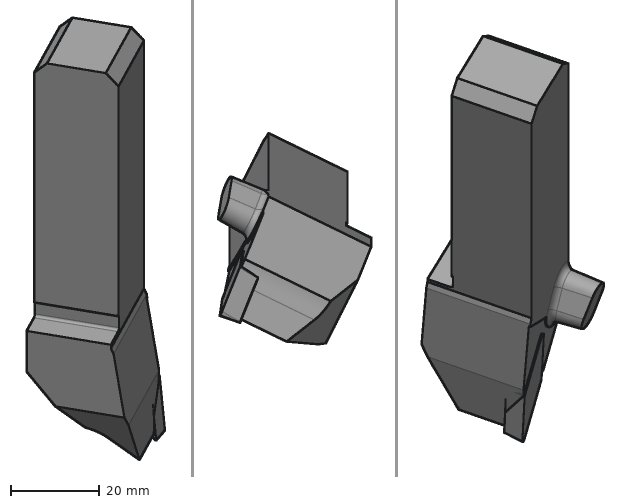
import cadquery as cq
import math


total_height = 108.0
shank_size = 20.0
shank_chamfer = 3.0
head_depth = 26.0
shelf_z = 38.9
shelf_fillet = 0.6
undercut_depth = 0.3
undercut_top_z = 42.9
nose_slope_top_z = 19.8
nose_tip_z = 2.5
nose_tip_y = -16.4

lead_angle = 50.0
lead_top_z = 27.9
relief_start_x = 12.7
relief_end_z = 9.7
bulge_top_z = 37.9
bulge_x = 20.6
bulge_z = 36.5
head_width = 23.9
waist_x = 23.7
waist_z = 16.7

peg_radius = 3.7
peg_spacing = 5.5
peg_center_x = 5.2
peg_center_z = 30.9
peg_angle = 57.0
peg_height = 9.3
peg_draft = 3.5
peg_end_tilt = 8.0
peg_fillet = 1.6
peg_end_stock = 1.1

step_depth = 0.3
step_left = (3.1, 24.1)
step_right = (20.7, 35.6)

insert_edge = 16.4
insert_tip_angle = 35.0
insert_thickness = 4.9
insert_clearance = 7.0
insert_nose_radius = 0.69
insert_reach_x = 25.0

pick_margin = 0.1
blank_margin = 10.8


def slope_drop(run):
    """Drop in Z of the lower left flank over a run in X."""
    return run * math.tan(math.radians(lead_angle))


def make_blank():
    """Front-to-back profile, wider than the part on both sides."""
    undercut_y = undercut_depth - shank_size
    return (
        cq.Workplane("YZ", origin=(-blank_margin, 0, 0))
        .moveTo(0, nose_tip_z)
        .lineTo(0, total_height)
        .lineTo(-shank_size, total_height)
        .lineTo(-shank_size, undercut_top_z)
        .lineTo(undercut_y, undercut_top_z - undercut_depth)
        .lineTo(undercut_y, shelf_z + shelf_fillet)
        .tangentArcPoint((undercut_y - shelf_fillet, shelf_z), relative=False)
        .lineTo(-head_depth, shelf_z)
        .lineTo(-head_depth, nose_slope_top_z)
        .lineTo(nose_tip_y, nose_tip_z)
        .close()
        .extrude(head_width + 2 * blank_margin)
    )


def peg_plane():
    """Plane of the seat face, centred on the peg, with its local X along the peg's long axis."""
    angle = math.radians(peg_angle)
    long_axis = cq.Vector(math.cos(angle), 0, -math.sin(angle))
    return cq.Plane((peg_center_x, 0, peg_center_z), long_axis, (0, 1, 0))


def peg_footprint(radius):
    """Outline with round ends, centred on the peg."""
    return cq.Workplane(peg_plane()).slot2D(peg_spacing + 2 * radius, 2 * radius)


def make_peg():
    """Drafted peg with round ends and a tilted end face."""
    half_length = peg_spacing / 2 + peg_radius
    peg = peg_footprint(peg_radius).extrude(peg_height + peg_end_stock, taper=peg_draft)
    root = peg_plane()
    high_edge = half_length - peg_height * math.tan(math.radians(peg_draft))
    tilt = math.tan(math.radians(peg_end_tilt))
    keep = (
        cq.Workplane(cq.Plane(root.origin, root.xDir, root.xDir.cross(root.zDir)))
        .moveTo(-half_length, 0)
        .lineTo(half_length, 0)
        .lineTo(half_length, peg_height - tilt * (half_length + high_edge))
        .lineTo(-half_length, peg_height + tilt * (half_length - high_edge))
        .close()
        .extrude(2 * peg_radius, both=True)
    )
    return peg.intersect(keep)


def make_step():
    """Thin layer removed below the step edge, all but the foot of the peg."""
    edge_slope = (step_right[1] - step_left[1]) / (step_right[0] - step_left[0])
    left_x = -blank_margin
    right_x = head_width + blank_margin
    layer = (
        cq.Workplane("XZ")
        .moveTo(left_x, step_left[1] + edge_slope * (left_x - step_left[0]))
        .lineTo(right_x, step_right[1] + edge_slope * (right_x - step_right[0]))
        .lineTo(right_x, -blank_margin)
        .lineTo(left_x, -blank_margin)
        .close()
        .extrude(step_depth)
    )
    foot = peg_footprint(peg_radius + peg_fillet).extrude(-step_depth)
    return layer.cut(foot)


def make_side_outline():
    """Side outline of shank and head, thick enough to hold the whole depth."""
    relief_start_z = lead_top_z - slope_drop(relief_start_x)
    relief_end_x = head_width - (relief_end_z - nose_tip_z) / slope_drop(1)
    return (
        cq.Workplane("XZ", origin=(0, peg_height + blank_margin, 0))
        .moveTo(0, lead_top_z)
        .lineTo(0, total_height - shank_chamfer)
        .lineTo(shank_chamfer, total_height)
        .lineTo(shank_size - shank_chamfer, total_height)
        .lineTo(shank_size, total_height - shank_chamfer)
        .lineTo(shank_size, bulge_top_z)
        .lineTo(bulge_x, bulge_z)
        .lineTo(waist_x, waist_z)
        .lineTo(head_width, nose_tip_z)
        .lineTo(relief_end_x, relief_end_z)
        .tangentArcPoint((relief_start_x, relief_start_z), relative=False)
        .close()
        .extrude(peg_height + head_depth + 2 * blank_margin)
    )


def make_insert():
    """Rhombic insert with its cutting face on Y = 0 and its nose resting on Z = 0."""
    left_edge = math.radians(180 - lead_angle)
    right_edge = left_edge - math.radians(insert_tip_angle)
    bisector = (left_edge + right_edge) / 2
    corner_to_center = insert_nose_radius / math.sin(math.radians(insert_tip_angle / 2))
    corner_x = insert_reach_x - insert_nose_radius - corner_to_center * math.cos(bisector)
    corner_z = insert_nose_radius - corner_to_center * math.sin(bisector)
    left_step = (insert_edge * math.cos(left_edge), insert_edge * math.sin(left_edge))
    right_step = (insert_edge * math.cos(right_edge), insert_edge * math.sin(right_edge))
    corners = [
        (corner_x, corner_z),
        (corner_x + right_step[0], corner_z + right_step[1]),
        (corner_x + right_step[0] + left_step[0], corner_z + right_step[1] + left_step[1]),
        (corner_x + left_step[0], corner_z + left_step[1]),
        (corner_x, corner_z),
    ]
    outline = cq.Sketch().polygon(corners).vertices().fillet(insert_nose_radius)
    return cq.Workplane("XZ").placeSketch(outline).extrude(insert_thickness, taper=insert_clearance)


def make_holder(insert):
    """Shank, head and peg in one piece, with a seat cut to the insert."""
    root_zone = cq.selectors.BoxSelector(
        (-blank_margin / 2, -pick_margin, peg_center_z - blank_margin),
        (peg_center_x + blank_margin, pick_margin, peg_center_z + blank_margin),
    )
    body = make_blank().union(make_peg()).edges(root_zone).fillet(peg_fillet)
    return body.intersect(make_side_outline()).cut(make_step()).cut(insert)


insert = make_insert()
holder = make_holder(insert)

result = cq.Compound.makeCompound([holder.val(), insert.val()])